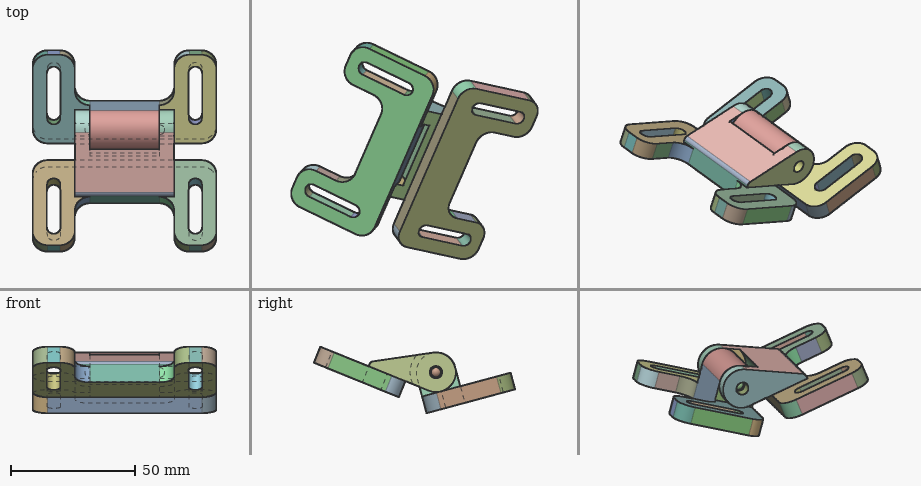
import cadquery as cq
import math

leaf_width = 74.0
leaf_length = 37.0
leaf_thickness = 7.0
arm_width = 17.0
web_depth = 16.0
corner_radius = 6.0
slot_width = 5.4
slot_length = 24.0
slot_end_margin = 5.0

barrel_radius = 8.0
fork_width = leaf_width - 2 * arm_width
ear_thickness = 6.0
knuckle_width = fork_width - 2 * ear_thickness
clearance_radius = 10.5
pivot_hole_diameter = 5.0
pivot_stud_radius = 2.0

knuckle_leaf_start = -barrel_radius
fork_leaf_start = 10.0
fork_reach = fork_leaf_start + web_depth
fork_taper = 30.4
fork_tip_radius = 2.0

knuckle_tilt = 15.1
fork_tilt = 22.12


def make_leaf(start):
    """Flat leaf running towards +Y from `start`, its top face tangent below the barrel."""
    end = start + leaf_length
    half_width = leaf_width / 2
    half_notch = half_width - arm_width
    floor = -barrel_radius - leaf_thickness
    outline = [
        (-half_width, start),
        (half_width, start),
        (half_width, end),
        (half_notch, end),
        (half_notch, start + web_depth),
        (-half_notch, start + web_depth),
        (-half_notch, end),
        (-half_width, end),
    ]
    leaf = cq.Workplane("XY", origin=(0, 0, floor)).polyline(outline).close().extrude(leaf_thickness)
    leaf = leaf.edges("|Z").fillet(corner_radius)
    arm_center = half_width - arm_width / 2
    slot_center = end - slot_end_margin - slot_length / 2
    slots = (
        cq.Workplane("XY", origin=(0, 0, floor))
        .pushPoints([(-arm_center, slot_center), (arm_center, slot_center)])
        .slot2D(slot_length, slot_width, 90)
        .extrude(leaf_thickness)
    )
    return leaf.cut(slots)


def centered_cylinder(radius, length):
    """Cylinder on the hinge axis, centred in X."""
    return cq.Workplane("YZ", origin=(-length / 2, 0, 0)).circle(radius).extrude(length)


def make_knuckle_leaf():
    """Leaf with the middle barrel on a straight-sided foot and a domed stud at each barrel end."""
    foot = (
        cq.Workplane("XY")
        .rect(knuckle_width, 2 * barrel_radius)
        .extrude(-barrel_radius)
    )
    body = make_leaf(knuckle_leaf_start).union(foot).union(centered_cylinder(barrel_radius, knuckle_width))
    for side in (-1, 1):
        stud = cq.Workplane("XY").sphere(pivot_stud_radius).translate((side * knuckle_width / 2, 0, 0))
        body = body.union(stud)
    return body.rotate((0, 0, 0), (1, 0, 0), knuckle_tilt)


def make_fork_leaf():
    """Leaf with a tapered fork whose two ears straddle the knuckle."""
    taper = math.radians(fork_taper)
    tangent_point = (barrel_radius * math.sin(taper), barrel_radius * math.cos(taper))
    tip_height = barrel_radius / math.cos(taper) - fork_reach * math.tan(taper)
    fork = (
        cq.Workplane("YZ", origin=(-fork_width / 2, 0, 0))
        .moveTo(0, -barrel_radius)
        .lineTo(fork_reach, -barrel_radius)
        .lineTo(fork_reach, tip_height)
        .lineTo(*tangent_point)
        .threePointArc((-barrel_radius, 0), (0, -barrel_radius))
        .close()
        .extrude(fork_width)
    )
    tip_edge = cq.selectors.NearestToPointSelector((0, fork_reach, tip_height))
    fork = fork.edges(tip_edge).fillet(fork_tip_radius)
    fork = fork.cut(centered_cylinder(clearance_radius, knuckle_width))
    fork = fork.cut(centered_cylinder(pivot_hole_diameter / 2, fork_width))
    body = fork.union(make_leaf(fork_leaf_start))
    body = body.rotate((0, 0, 0), (1, 0, 0), fork_tilt)
    return body.rotate((0, 0, 0), (0, 0, 1), 180)


knuckle_leaf = make_knuckle_leaf()
fork_leaf = make_fork_leaf()

result = cq.Compound.makeCompound([knuckle_leaf.val(), fork_leaf.val()])